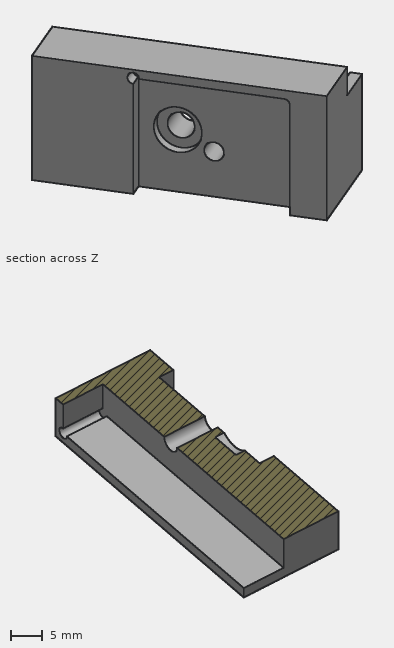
import cadquery as cq

length = 49.0
depth = 19.0
height = 22.0

ledge_depth = 8.0
plate_thickness = 2.0
rib_height = 17.0
wall_depth = depth - ledge_depth

corner_radius = 1.0

pocket_left = 16.85
pocket_width = 26.0
pocket_height = 20.5
pocket_depth = 2.85

screw_x = 23.35
screw_z = height / 2
screw_diameter = 4.5
counterbore_diameter = 8.0
counterbore_depth = 1.75
pin_offset_x = 6.05
pin_drop = 3.0
pin_diameter = 3.3


def cylinder_along_y(x, z, radius, start_y, reach):
    """Cylinder with its axis along +Y, starting at start_y."""
    start = cq.Vector(x, start_y, z)
    return cq.Workplane(cq.Solid.makeCylinder(radius, reach, start, cq.Vector(0, 1, 0)))


def ledge():
    """Floor plate and end rib of equal thickness, with a round relief in the inner corner."""
    rib_inner_x = length - plate_thickness
    plate = cq.Workplane("XY").box(length, ledge_depth, plate_thickness, centered=False)
    rib = (
        cq.Workplane("XY")
        .box(plate_thickness, ledge_depth, rib_height, centered=False)
        .translate((rib_inner_x, 0, 0))
    )
    relief = cylinder_along_y(rib_inner_x, plate_thickness, corner_radius, 0, ledge_depth)
    return plate.union(rib).cut(relief).translate((0, wall_depth, 0))


def pocket():
    """Pocket with one rounded top corner and a round relief in the other."""
    recess = (
        cq.Workplane("XY")
        .box(pocket_width, pocket_depth, pocket_height, centered=False)
        .translate((pocket_left, 0, 0))
        .edges("|Y and >X and >Z")
        .fillet(corner_radius)
    )
    relief = cylinder_along_y(pocket_left, pocket_height, corner_radius, 0, pocket_depth)
    return recess.union(relief)


def counterbored_screw_hole():
    """Through hole with a counterbore sunk into the pocket floor."""
    hole = cylinder_along_y(screw_x, screw_z, screw_diameter / 2, 0, wall_depth)
    counterbore = cylinder_along_y(
        screw_x, screw_z, counterbore_diameter / 2, pocket_depth, counterbore_depth
    )
    return hole.union(counterbore)


def pin_hole():
    """Plain through hole beside and below the screw hole."""
    pin_x = screw_x + pin_offset_x
    pin_z = screw_z - pin_drop
    return cylinder_along_y(pin_x, pin_z, pin_diameter / 2, 0, wall_depth)


wall = cq.Workplane("XY").box(length, wall_depth, height, centered=False)

result = (
    wall.union(ledge())
    .cut(pocket())
    .cut(counterbored_screw_hole())
    .cut(pin_hole())
)